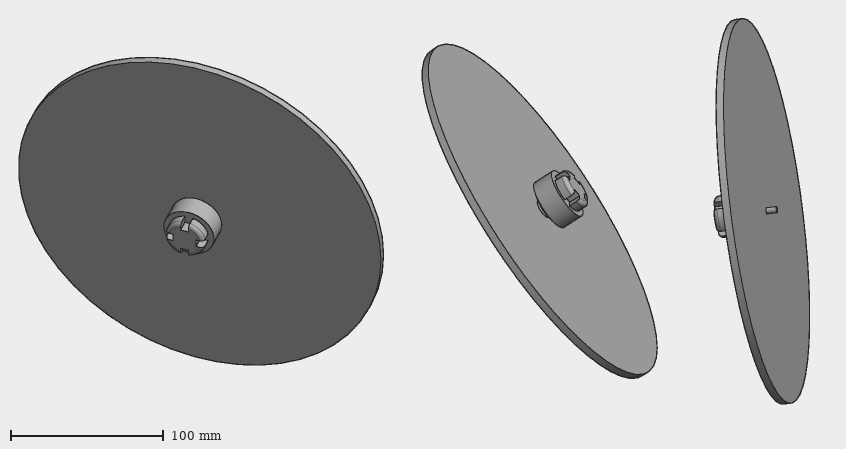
import cadquery as cq
import math

plate_diameter = 254.0
plate_thickness = 5.0

shaft_diameter = 4.0
shaft_protrusion = 6.9

neck_base_diameter = 12.5
neck_top_diameter = 11.0
neck_length = 2.0
collar_diameter = 35.0
collar_gap = 5.3
collar_length = 14.5
dome_radius = 30.5
boss_diameter = 27.5
boss_length = 8.1
boss_fillet = 2.8
notch_count = 4
notch_width = 5.5
notch_floor_distance = 8.1

shaft_radius = shaft_diameter / 2
neck_base_radius = neck_base_diameter / 2
neck_top_radius = neck_top_diameter / 2
collar_radius = collar_diameter / 2
boss_radius = boss_diameter / 2
shaft_end = plate_thickness + shaft_protrusion
collar_back = -collar_gap
collar_front = collar_back - collar_length
boss_front = collar_front - boss_length


def dome_arc_middle():
    """Point on the bulging dome arc halfway between the neck and the collar rim."""
    rise = collar_gap - neck_length
    run = collar_radius - neck_top_radius
    chord = math.hypot(run, rise)
    bulge = dome_radius - math.sqrt(dome_radius**2 - (chord / 2) ** 2)
    middle_radius = (neck_top_radius + collar_radius) / 2
    middle_y = -(neck_length + collar_gap) / 2
    return (middle_radius + bulge * rise / chord, middle_y + bulge * run / chord)


def make_plate():
    """Round plate with a centre hole for the shaft."""
    outline = cq.Workplane("XZ").circle(plate_diameter / 2).circle(shaft_radius)
    return outline.extrude(-plate_thickness)


def make_notch_cutter():
    """Box that cuts one notch into the +X side of the boss, over its full length."""
    notch_depth = boss_radius - notch_floor_distance
    return cq.Workplane("XY").box(
        notch_depth, boss_length, notch_width, centered=(False, False, True)
    ).translate((notch_floor_distance, boss_front, 0))


def make_knob():
    """Turned knob with its shaft, a rounded boss edge and evenly spaced notches."""
    knob = (
        cq.Workplane("XY")
        .moveTo(0, shaft_end)
        .lineTo(shaft_radius, shaft_end)
        .lineTo(shaft_radius, 0)
        .lineTo(neck_base_radius, 0)
        .lineTo(neck_top_radius, -neck_length)
        .threePointArc(dome_arc_middle(), (collar_radius, collar_back))
        .lineTo(collar_radius, collar_front)
        .lineTo(boss_radius, collar_front)
        .lineTo(boss_radius, boss_front)
        .lineTo(0, boss_front)
        .close()
        .revolve(360, (0, 0, 0), (0, 1, 0))
    )
    knob = knob.faces("<Y").edges().fillet(boss_fillet)
    cutter = make_notch_cutter()
    for index in range(notch_count):
        angle = index * 360 / notch_count
        knob = knob.cut(cutter.rotate((0, 0, 0), (0, 1, 0), angle))
    return knob


plate = make_plate()
knob = make_knob()

result = cq.Compound.makeCompound([plate.val(), knob.val()])